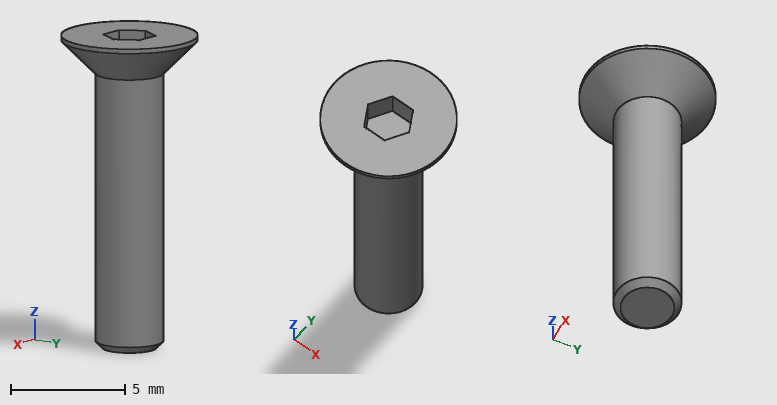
import cadquery as cq
import math

shank_diameter = 3.0
head_diameter = 6.0
total_length = 14.0
head_rim_height = 0.2
tip_chamfer = 0.32
socket_across_flats = 2.0
socket_sides = 6
socket_depth = 1.2

shank_radius = shank_diameter / 2
head_radius = head_diameter / 2
cone_height = head_radius - shank_radius
head_height = head_rim_height + cone_height


def screw_body():
    """Head, shank and chamfered tip, revolved from one half profile."""
    half_profile = [
        (0, 0),
        (head_radius, 0),
        (head_radius, -head_rim_height),
        (shank_radius, -head_height),
        (shank_radius, tip_chamfer - total_length),
        (shank_radius - tip_chamfer, -total_length),
        (0, -total_length),
    ]
    return cq.Workplane("XZ").polyline(half_profile).close().revolve(360, (0, 0), (0, 1))


def hex_socket():
    """Hexagonal prism with two corners on the X axis."""
    across_corners = socket_across_flats / math.cos(math.pi / socket_sides)
    return cq.Workplane("XY").polygon(socket_sides, across_corners).extrude(-socket_depth)


result = screw_body().cut(hex_socket())